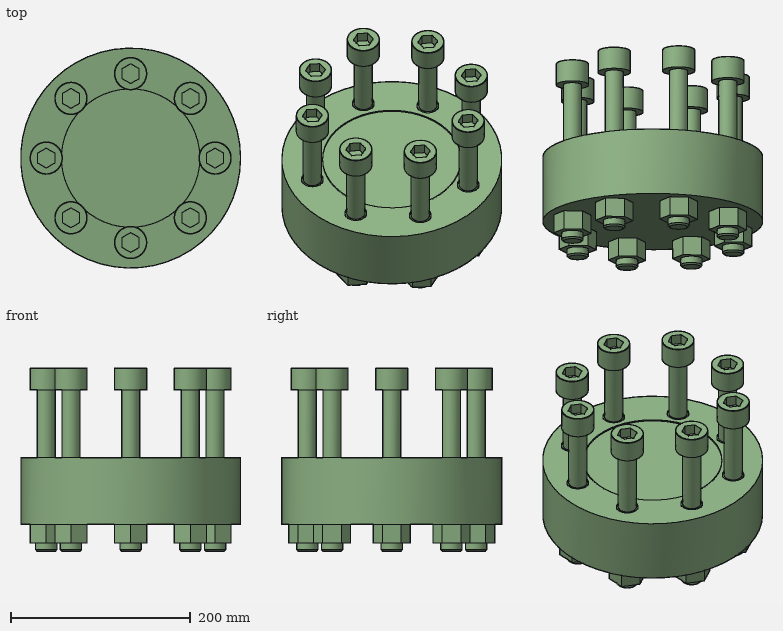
import cadquery as cq
import math

DISC_DIAMETER = 245.0
DISC_HEIGHT = 74.2
RECESS_DIAMETER = 154.0
RECESS_DEPTH = 1.5

BOLT_COUNT = 8
PITCH_DIAMETER = 188.0
HEAD_DIAMETER = 36.0
HEAD_HEIGHT = 24.5
HEAD_TOP_CHAMFER = 0.5
HEAD_TOP_ABOVE_DISC = 100.0
SHANK_DIAMETER = 20.3
SOCKET_ACROSS_FLATS = 19.0
SOCKET_DEPTH = 12.0

THREAD_DIAMETER = 24.0
THREAD_CHAMFER = (THREAD_DIAMETER - SHANK_DIAMETER) / 2
NUT_ACROSS_FLATS = 36.0
NUT_HEIGHT = 20.8
END_BELOW_NUT = 9.0

HEX_SIDES = 6
HEAD_TOP = DISC_HEIGHT + HEAD_TOP_ABOVE_DISC
BOLT_END = -(NUT_HEIGHT + END_BELOW_NUT)


def cylinder(diameter, bottom, top):
    return cq.Workplane("XY").workplane(offset=bottom).circle(diameter / 2).extrude(top - bottom)


def hex_prism(across_flats, bottom, top):
    """Vertical hexagonal prism with two flats facing +X and -X."""
    across_corners = across_flats / math.cos(math.pi / HEX_SIDES)
    hexagon = cq.Sketch().regularPolygon(across_corners / 2, HEX_SIDES)
    return cq.Workplane("XY").workplane(offset=bottom).placeSketch(hexagon).extrude(top - bottom)


def make_disc():
    disc = cylinder(DISC_DIAMETER, 0, DISC_HEIGHT)
    recess = cylinder(RECESS_DIAMETER, DISC_HEIGHT - RECESS_DEPTH, DISC_HEIGHT)
    return disc.cut(recess)


def make_head():
    head = cylinder(HEAD_DIAMETER, HEAD_TOP - HEAD_HEIGHT, HEAD_TOP)
    head = head.faces(">Z").edges().chamfer(HEAD_TOP_CHAMFER)
    return head.cut(hex_prism(SOCKET_ACROSS_FLATS, HEAD_TOP - SOCKET_DEPTH, HEAD_TOP))


def make_bolt():
    """Bolt on the Z axis: head, shank, and thread chamfered at both ends, with its nut."""
    shank = cylinder(SHANK_DIAMETER, 0, HEAD_TOP - HEAD_HEIGHT)
    thread = cylinder(THREAD_DIAMETER, BOLT_END, DISC_HEIGHT)
    thread = thread.faces("<Z or >Z").edges().chamfer(THREAD_CHAMFER)
    nut = hex_prism(NUT_ACROSS_FLATS, -NUT_HEIGHT, 0)
    return make_head().union(shank).union(thread).union(nut)


result = make_disc()
bolt = make_bolt()
hole = cylinder(THREAD_DIAMETER, 0, DISC_HEIGHT)
for index in range(BOLT_COUNT):
    angle = 2 * math.pi * index / BOLT_COUNT
    position = cq.Vector(math.cos(angle), math.sin(angle), 0) * (PITCH_DIAMETER / 2)
    result = result.cut(hole.translate(position)).union(bolt.translate(position))